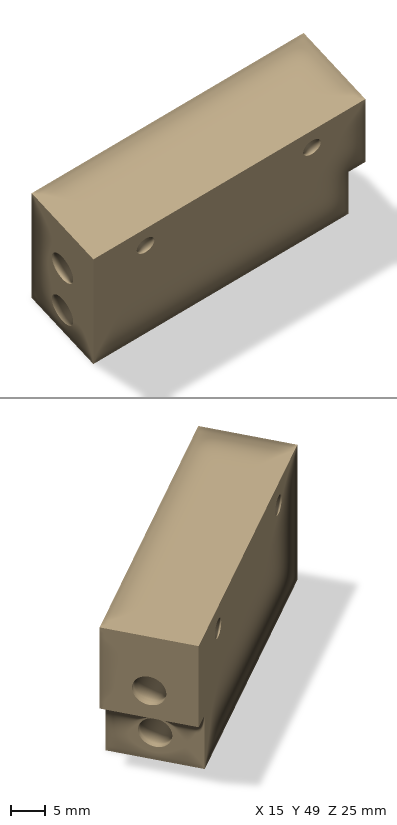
import cadquery as cq

width = 15.0
length = 49.0
height = 25.0

step_depth = 3.0
step_height = 10.0

bore_diameter = 5.2
lower_bore_z = 5.0
bore_spacing = 10.0

cross_hole_diameter = 3.2
cross_hole_spacing = 30.0
cross_hole_drop = 4.0
cross_hole_offset = -0.1


def make_block():
    return cq.Workplane("XY").box(width, length, height, centered=(True, True, False))


def make_step():
    return (
        cq.Workplane("XY")
        .box(width, step_depth, step_height, centered=(True, False, False))
        .translate((0, length / 2 - step_depth, 0))
    )


def make_bores():
    bore_centres = [(0, lower_bore_z), (0, lower_bore_z + bore_spacing)]
    return (
        cq.Workplane("XZ")
        .pushPoints(bore_centres)
        .circle(bore_diameter / 2)
        .extrude(length / 2, both=True)
    )


def make_cross_holes():
    hole_z = height - cross_hole_drop
    hole_centres = [(cross_hole_offset + side * cross_hole_spacing / 2, hole_z) for side in (-1, 1)]
    return (
        cq.Workplane("YZ")
        .pushPoints(hole_centres)
        .circle(cross_hole_diameter / 2)
        .extrude(width / 2, both=True)
    )


result = make_block().cut(make_step()).cut(make_bores()).cut(make_cross_holes())